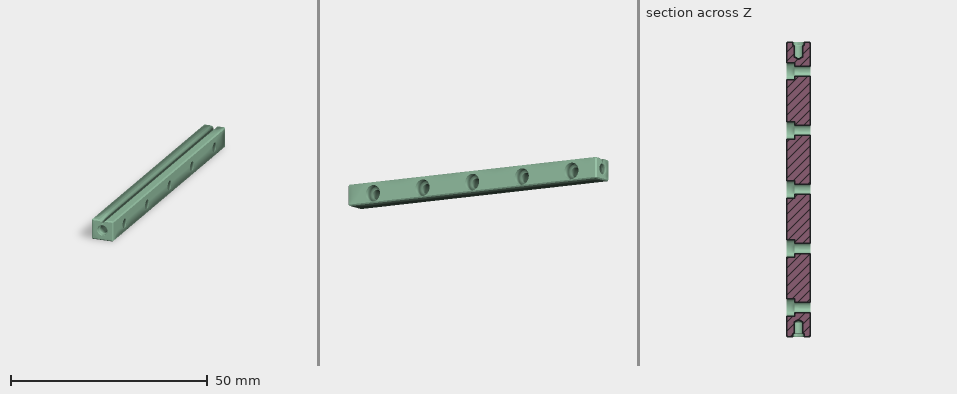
import cadquery as cq
import math

length = 75.0
width = 6.0
height = 5.5
edge_chamfer = 0.3

groove_mouth_width = 1.9
groove_slot_width = 0.75
groove_depth = 1.1
groove_flank_depth = (groove_mouth_width - groove_slot_width) / 2

hole_count = 5
hole_pitch = 15.0
hole_diameter = 2.5
counterbore_diameter = 4.3
counterbore_depth = 1.95
hole_axis_drop = 0.24
hole_axis_height = height / 2 - hole_axis_drop

end_mouth_diameter = 2.85
end_entry_diameter = 2.7
end_entry_depth = 0.75
end_bore_diameter = 2.1
end_bore_depth = 3.75
drill_point_angle = 120.0


def make_block():
    """Bar centred on X and Y, standing on Z = 0, with every outer edge chamfered."""
    block = cq.Workplane("XY").box(width, length, height, centered=(True, True, False))
    block = block.faces("<Y or >Y").edges().chamfer(edge_chamfer)
    return block.edges("|Y").chamfer(edge_chamfer)


def make_groove():
    """Slot with flared flanks, running the full length of the top face."""
    half_mouth = groove_mouth_width / 2
    half_slot = groove_slot_width / 2
    flank_bottom = height - groove_flank_depth
    floor = height - groove_depth
    return (
        cq.Workplane("XZ")
        .moveTo(-half_mouth, height)
        .lineTo(-half_slot, flank_bottom)
        .lineTo(-half_slot, floor)
        .lineTo(half_slot, floor)
        .lineTo(half_slot, flank_bottom)
        .lineTo(half_mouth, height)
        .close()
        .extrude(length / 2, both=True)
    )


def make_mounting_hole(y):
    """Through hole along X, counterbored from the -X side."""
    start = cq.Vector(-width / 2, y, hole_axis_height)
    direction = cq.Vector(1, 0, 0)
    through = cq.Solid.makeCylinder(hole_diameter / 2, width, start, direction)
    counterbore = cq.Solid.makeCylinder(counterbore_diameter / 2, counterbore_depth, start, direction)
    return through.fuse(counterbore)


def make_end_hole():
    """Hole at the -Y end: broken mouth edge, wide entry, 45 degree shoulder, bore and drill point."""
    mouth_radius = end_mouth_diameter / 2
    entry_radius = end_entry_diameter / 2
    bore_radius = end_bore_diameter / 2
    mouth_depth = mouth_radius - entry_radius
    shoulder_bottom = end_entry_depth + entry_radius - bore_radius
    point_length = bore_radius / math.tan(math.radians(drill_point_angle / 2))
    return (
        cq.Workplane("XY", origin=(0, -length / 2, height / 2))
        .lineTo(mouth_radius, 0)
        .lineTo(entry_radius, mouth_depth)
        .lineTo(entry_radius, end_entry_depth)
        .lineTo(bore_radius, shoulder_bottom)
        .lineTo(bore_radius, end_bore_depth)
        .lineTo(0, end_bore_depth + point_length)
        .close()
        .revolve(360, (0, 0, 0), (0, 1, 0))
    )


result = make_block().cut(make_groove())

for index in range(hole_count):
    hole_y = (index - (hole_count - 1) / 2) * hole_pitch
    result = result.cut(cq.Workplane(make_mounting_hole(hole_y)))

end_hole = make_end_hole()
result = result.cut(end_hole).cut(end_hole.mirror("XZ"))